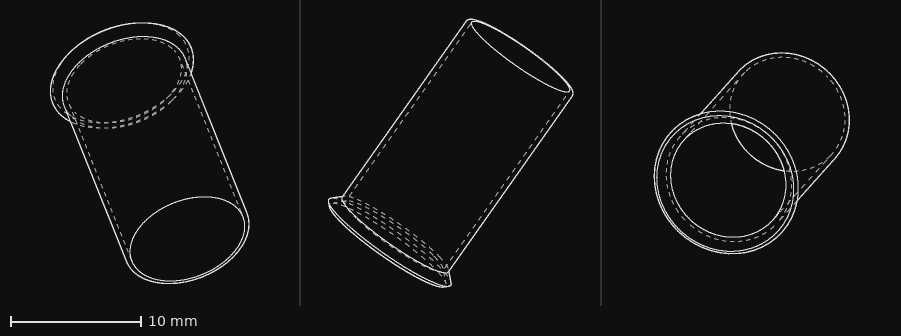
import cadquery as cq
import math

length = 18.0
outer_diameter = 10.0
bore_diameter = 9.2
rim_diameter = 11.5

outer_radius = outer_diameter / 2
bore_radius = bore_diameter / 2
rim_radius = rim_diameter / 2
wall = outer_radius - bore_radius

rim_step = wall * math.sin(math.radians(45))
mouth_radius = rim_radius - rim_step
inner_flare_depth = mouth_radius - bore_radius
outer_flare_end = rim_step + rim_radius - outer_radius

end_round = 0.2

profile = (
    cq.Workplane("XY")
    .moveTo(0, mouth_radius)
    .lineTo(rim_step, rim_radius)
    .lineTo(outer_flare_end, outer_radius)
    .lineTo(length - end_round, outer_radius)
    .radiusArc((length, outer_radius - end_round), end_round)
    .lineTo(length, bore_radius)
    .lineTo(inner_flare_depth, bore_radius)
    .close()
)

result = profile.revolve(360, (0, 0, 0), (1, 0, 0))